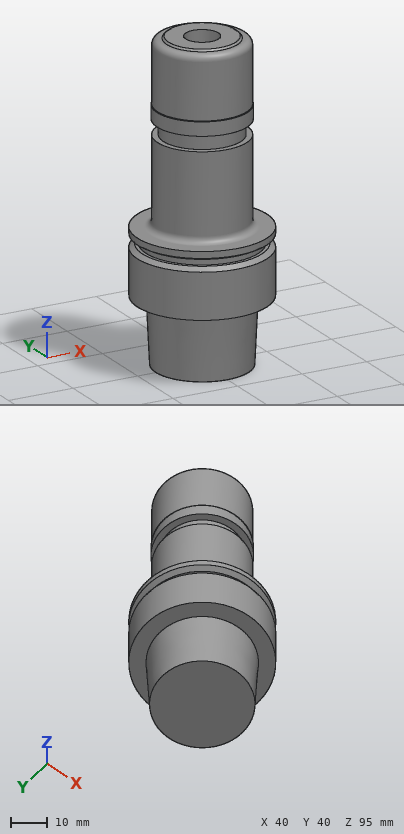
import cadquery as cq
import math

total_length = 95.0
shank_length = 19.95
shank_tip_radius = 14.3
shank_root_radius = 15.3

flange_diameter = 40.0
flange_radius = flange_diameter / 2
flange_top = 39.9
groove_radius = 17.4
groove_lip_radius = 18.4
groove_lower_edge = 33.9
groove_floor_bottom = 35.1
groove_floor_top = 37.05
groove_upper_edge = 37.9

body_radius = 13.8
root_fillet = 2.0
neck_radius = 12.0
neck_bottom = 66.5
neck_top = 71.1
band_radius = 14.0
band_top = 75.2
band_chamfer = band_radius - body_radius

nose_fillet = 2.0
end_face_height = 0.6
end_face_radius = 10.4
end_face_base_radius = end_face_radius + end_face_height
shoulder_height = total_length - end_face_height

bore_radius = 5.0
bore_depth = 39.9

quarter_mid = math.sqrt(0.5)


def turned_body():
    """Revolve the radius-height half profile about the Z axis."""
    root_center = (body_radius + root_fillet, flange_top + root_fillet)
    root_mid = (
        root_center[0] - root_fillet * quarter_mid,
        root_center[1] - root_fillet * quarter_mid,
    )
    nose_center = (body_radius - nose_fillet, shoulder_height - nose_fillet)
    nose_mid = (
        nose_center[0] + nose_fillet * quarter_mid,
        nose_center[1] + nose_fillet * quarter_mid,
    )
    profile = (
        cq.Workplane("XZ")
        .moveTo(0, 0)
        .lineTo(shank_tip_radius, 0)
        .lineTo(shank_root_radius, shank_length)
        .lineTo(flange_radius, shank_length)
        .lineTo(flange_radius, groove_lower_edge)
        .lineTo(groove_lip_radius, groove_floor_bottom)
        .lineTo(groove_radius, groove_floor_bottom)
        .lineTo(groove_radius, groove_floor_top)
        .lineTo(groove_lip_radius, groove_floor_top)
        .lineTo(flange_radius, groove_upper_edge)
        .lineTo(flange_radius, flange_top)
        .lineTo(root_center[0], flange_top)
        .threePointArc(root_mid, (body_radius, root_center[1]))
        .lineTo(body_radius, neck_bottom)
        .lineTo(neck_radius, neck_bottom)
        .lineTo(neck_radius, neck_top)
        .lineTo(band_radius, neck_top)
        .lineTo(band_radius, band_top)
        .lineTo(body_radius, band_top + band_chamfer)
        .lineTo(body_radius, nose_center[1])
        .threePointArc(nose_mid, (nose_center[0], shoulder_height))
        .lineTo(end_face_base_radius, shoulder_height)
        .lineTo(end_face_radius, total_length)
        .lineTo(0, total_length)
        .close()
    )
    return profile.revolve(360, (0, 0, 0), (0, 1, 0))


def tool_bore():
    """Blind cylinder opening at the end face."""
    bore_floor = total_length - bore_depth
    return cq.Workplane("XY").workplane(offset=bore_floor).circle(bore_radius).extrude(bore_depth)


result = turned_body().cut(tool_bore())